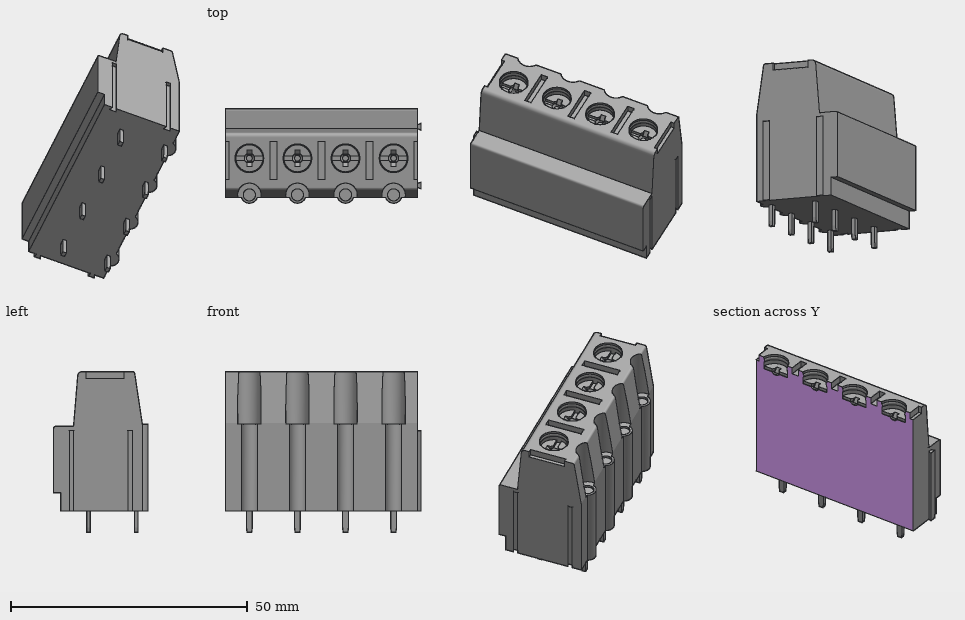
import cadquery as cq


pole_count = 4
tongue_depth = 0.75
housing_length = 41.35 - tongue_depth
pitch = housing_length / pole_count
pole_centres = [(i + 0.5) * pitch for i in range(pole_count)]
pole_borders = [i * pitch for i in range(pole_count + 1)]
overall_depth = 20.0
overall_height = 34.0
pin_length = 4.5
housing_height = overall_height - pin_length

boss_radius = 1.78
boss_axis_y = 0.58
boss_height = 18.4
boss_overhang = boss_radius - boss_axis_y
scallop_radius = 2.5
probe_hole_radius = 1.3
probe_hole_depth = 0.5
probe_hole_bottom = boss_height - probe_hole_depth

housing_depth = overall_depth - boss_overhang
front_slope_start_z = 18.55
top_front_y = 1.65
top_back_y = 13.6
shelf_front_y = 14.55
shelf_z = 17.95
back_step_y = 17.25
back_step_z = 3.85
top_front_radius = 0.5
top_back_radius = 1.0
shelf_radius = 0.5

slot_width = 1.5
slot_depth = 1.5
slot_front_y = 3.85
slot_back_y = 11.87

well_y = 8.3
well_mouth_radius = 6.1 / 2
well_lower_radius = 6.05 / 2
well_bead_radius = 2.85
well_mouth_depth = 0.5
well_bead_height = 0.83
well_depth = 2.28
screw_head_z = housing_height - well_depth

drive_slot_width = 1.05
drive_slot_depth = 0.65
wing_width = 1.08
wing_top_length = 3.4
wing_bottom_length = 1.75
wing_depth = 0.9
drive_core_radius = 1.08
drive_tip_radius = 0.6
drive_depth = 1.15

dovetail_ys = [2.55, 14.98]
dovetail_root_width = 0.9
dovetail_tip_width = 1.5
dovetail_height = 17.0

pin_width = 1.3
pin_thickness = 0.83
pin_tip_width = 1.0
pin_tip_height = 1.0
pin_ys = [1.3, 11.38]


def make_housing():
    """Stepped cross section swept along the row of poles."""
    profile = [
        (0, 0),
        (0, front_slope_start_z),
        (top_front_y, housing_height),
        (top_back_y, housing_height),
        (shelf_front_y, shelf_z),
        (housing_depth, shelf_z),
        (housing_depth, back_step_z),
        (back_step_y, back_step_z),
        (back_step_y, 0),
    ]
    rounded_corners = [
        (top_front_y, housing_height, top_front_radius),
        (top_back_y, housing_height, top_back_radius),
        (housing_depth, shelf_z, shelf_radius),
    ]
    housing = cq.Workplane("YZ").polyline(profile).close().extrude(housing_length)
    for y, z, radius in rounded_corners:
        corner = cq.NearestToPointSelector((housing_length / 2, y, z))
        housing = housing.edges("|X").edges(corner).fillet(radius)
    return housing


def make_marking_slot(x):
    return (
        cq.Workplane("XY", origin=(x, (slot_front_y + slot_back_y) / 2, housing_height - slot_depth))
        .rect(slot_width, slot_back_y - slot_front_y)
        .extrude(slot_depth)
    )


def make_dovetail(x, y):
    """Vertical bar that widens in +X from a narrow root at x."""
    root = dovetail_root_width / 2
    tip = dovetail_tip_width / 2
    outline = [(0, -root), (tongue_depth, -tip), (tongue_depth, tip), (0, root)]
    return cq.Workplane("XY", origin=(x, y, 0)).polyline(outline).close().extrude(dovetail_height)


def make_screw_well(x):
    """Turned cavity whose wall carries a bead that narrows it."""
    bead_top = -well_mouth_depth
    bead_bottom = bead_top - well_bead_height
    return (
        cq.Workplane("XZ", origin=(x, well_y, housing_height))
        .lineTo(well_mouth_radius, 0)
        .lineTo(well_mouth_radius, bead_top)
        .threePointArc((well_bead_radius, (bead_top + bead_bottom) / 2), (well_lower_radius, bead_bottom))
        .lineTo(well_lower_radius, -well_depth)
        .lineTo(0, -well_depth)
        .close()
        .revolve(360, (0, 0, 0), (0, 1, 0))
    )


def make_screw_drive(x):
    """Straight slot along X, tapered wings along Y and a conical centre."""
    head = (x, well_y, screw_head_z)
    head_plane = cq.Workplane("XY", origin=head)
    slot_blank = head_plane.rect(2 * well_lower_radius, drive_slot_width).extrude(-drive_slot_depth)
    slot = slot_blank.intersect(head_plane.circle(well_lower_radius).extrude(-drive_slot_depth))
    wings = (
        cq.Workplane("YZ", origin=head)
        .polyline([
            (-wing_top_length / 2, 0),
            (wing_top_length / 2, 0),
            (wing_bottom_length / 2, -wing_depth),
            (-wing_bottom_length / 2, -wing_depth),
        ])
        .close()
        .extrude(wing_width / 2, both=True)
    )
    core = (
        cq.Workplane("XZ", origin=head)
        .lineTo(drive_core_radius, 0)
        .lineTo(drive_core_radius, -drive_slot_depth)
        .lineTo(drive_tip_radius, -drive_depth)
        .lineTo(0, -drive_depth)
        .close()
        .revolve(360, (0, 0, 0), (0, 1, 0))
    )
    return slot.union(wings).union(core)


def make_upright_cylinder(x, radius, bottom_z, top_z):
    """Cylinder on the axis shared by boss, scallop and probe hole."""
    return cq.Workplane("XY", origin=(x, boss_axis_y, bottom_z)).circle(radius).extrude(top_z - bottom_z)


def make_pin(x, y):
    """Flat pin with a tapered tip."""
    shoulder_z = pin_tip_height - pin_length
    outline = [
        (-pin_width / 2, 0),
        (-pin_width / 2, shoulder_z),
        (-pin_tip_width / 2, -pin_length),
        (pin_tip_width / 2, -pin_length),
        (pin_width / 2, shoulder_z),
        (pin_width / 2, 0),
    ]
    plane = cq.Workplane("XZ", origin=(x, y, 0))
    return plane.polyline(outline).close().extrude(pin_thickness / 2, both=True)


result = make_housing()

for border_x in pole_borders:
    result = result.cut(make_marking_slot(border_x))

for dovetail_y in dovetail_ys:
    result = result.cut(make_dovetail(0, dovetail_y))
    result = result.union(make_dovetail(housing_length, dovetail_y))

for pole_x in pole_centres:
    result = result.cut(make_screw_well(pole_x)).cut(make_screw_drive(pole_x))
    result = result.cut(make_upright_cylinder(pole_x, scallop_radius, boss_height, housing_height))
    result = result.union(make_upright_cylinder(pole_x, boss_radius, 0, boss_height))
    result = result.cut(make_upright_cylinder(pole_x, probe_hole_radius, probe_hole_bottom, boss_height))
    for pin_y in pin_ys:
        result = result.union(make_pin(pole_x, pin_y))